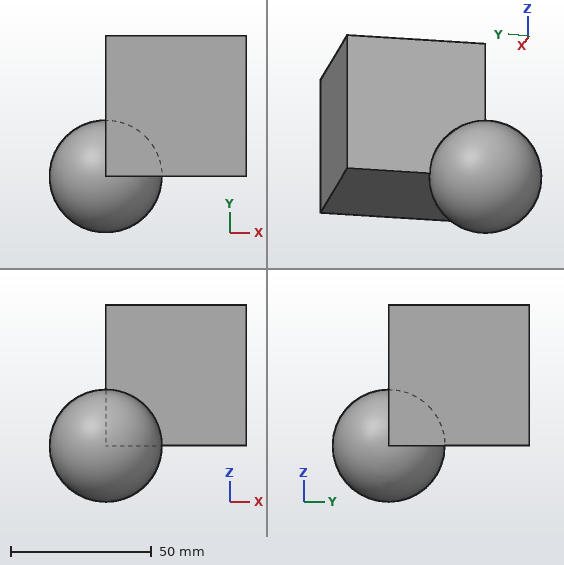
import cadquery as cq

cube_side = 50.0
ball_radius = 20.0


def make_ball():
    """Full ball around the lower left front corner of the cube."""
    return cq.Workplane("XY").sphere(ball_radius)


def make_cube(ball):
    """Cube with one corner hollowed out to seat the ball."""
    blank = cq.Workplane("XY").box(cube_side, cube_side, cube_side, centered=False)
    return blank.cut(ball)


ball = make_ball()
cube = make_cube(ball)

result = cq.Compound.makeCompound([cube.val(), ball.val()])